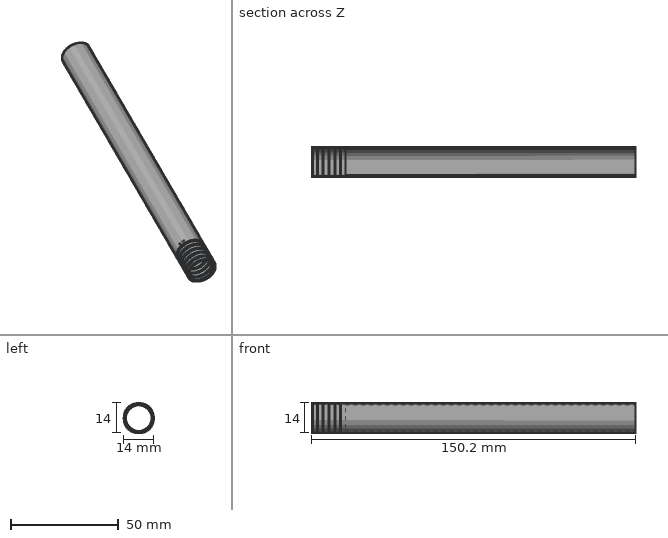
import cadquery as cq

length = 150.2
tube_diameter = 14.0
bore_diameter = 12.0

thin_end_length = 15.6
thin_end_bore_diameter = 12.8
mouth_depth = 0.6
mouth_diameter = 13.2

groove_count = 5
groove_pitch = 2.7
groove_width = 0.53
first_groove_center = 2.5
groove_root_diameter = 13.0
rib_crest_diameter = bore_diameter


def cylinder(diameter, depth):
    """Solid cylinder along X, starting at X = 0."""
    return cq.Workplane("YZ").circle(diameter / 2).extrude(depth)


def v_ring(center, base_diameter, tip_diameter):
    """Ring with a triangular section, narrowing inward from base to tip."""
    return (
        cq.Workplane("XY")
        .moveTo(center - groove_width / 2, base_diameter / 2)
        .lineTo(center, tip_diameter / 2)
        .lineTo(center + groove_width / 2, base_diameter / 2)
        .close()
        .revolve(360, (0, 0, 0), (1, 0, 0))
    )


result = (
    cylinder(tube_diameter, length)
    .cut(cylinder(bore_diameter, length))
    .cut(cylinder(thin_end_bore_diameter, thin_end_length))
    .cut(cylinder(mouth_diameter, mouth_depth))
)

for index in range(groove_count):
    center = first_groove_center + index * groove_pitch
    rib = v_ring(center, thin_end_bore_diameter, rib_crest_diameter)
    groove = v_ring(center, tube_diameter, groove_root_diameter)
    result = result.union(rib).cut(groove)